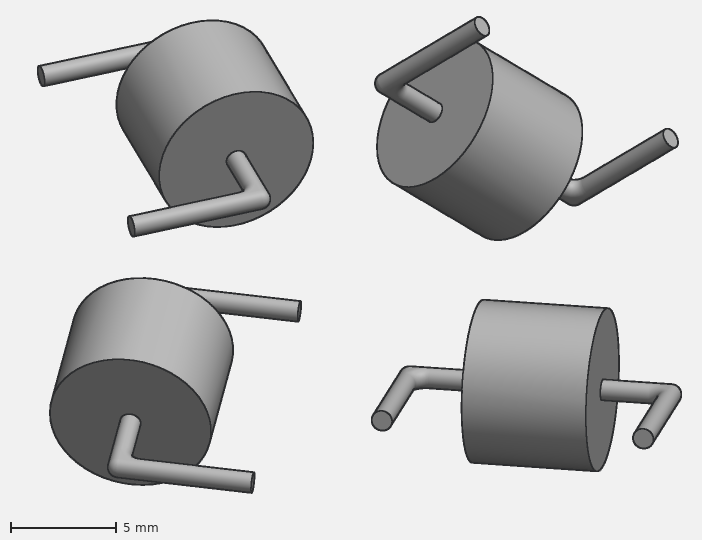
import cadquery as cq
import math

overall_width = 13.7
overall_depth = 10.4
body_diameter = 7.8
body_length = 6.04
wire_diameter = 1.0

body_radius = body_diameter / 2
wire_radius = wire_diameter / 2
bend_radius = wire_diameter
corner_x = overall_width / 2 - wire_radius
bend_start_x = corner_x - bend_radius
leg_length = overall_depth - body_radius


def rod_along_x(diameter, length):
    """Solid cylinder along X, centred on the origin."""
    return cq.Workplane("YZ", origin=(-length / 2, 0, 0)).circle(diameter / 2).extrude(length)


def half_disc(workplane, side):
    """Half of the wire section, bulging to the given side of a vertical diameter."""
    return (
        workplane.moveTo(0, -wire_radius)
        .threePointArc((side * wire_radius, 0), (0, wire_radius))
        .close()
    )


def make_bend():
    """Corner at +X: round outside edge, flat web in the corner, round inside edge."""
    arc_inset = bend_radius * (1 - math.sqrt(0.5))
    web = (
        cq.Workplane("XY", origin=(0, 0, -wire_radius))
        .moveTo(bend_start_x, 0)
        .lineTo(corner_x, 0)
        .lineTo(corner_x, -bend_radius)
        .threePointArc((corner_x - arc_inset, -arc_inset), (bend_start_x, 0))
        .close()
        .extrude(wire_diameter)
    )

    axial_edge = half_disc(cq.Workplane("YZ", origin=(bend_start_x, 0, 0)), 1).extrude(bend_radius)
    leg_edge = half_disc(cq.Workplane("XZ", origin=(corner_x, 0, 0)), 1).extrude(bend_radius)
    ball = half_disc(cq.Workplane("XZ", origin=(corner_x, 0, 0)), 1).revolve(
        90, (0, 0, 0), (0, 1, 0)
    )

    inside_edge = half_disc(cq.Workplane("XZ", origin=(corner_x, -bend_radius, 0)), -1).revolve(
        90, (-bend_radius, 0, 0), (-bend_radius, 1, 0)
    )
    return web.union(axial_edge).union(leg_edge).union(ball).union(inside_edge)


def make_leg():
    """Straight leg toward -Y, from the end of the bend at +X."""
    return (
        cq.Workplane("XZ", origin=(corner_x, -bend_radius, 0))
        .circle(wire_radius)
        .extrude(leg_length - bend_radius)
    )


body = rod_along_x(body_diameter, body_length)
axial_wire = rod_along_x(wire_diameter, 2 * bend_start_x)
bent_end = make_bend().union(make_leg())
result = body.union(axial_wire).union(bent_end).union(bent_end.mirror("YZ"))